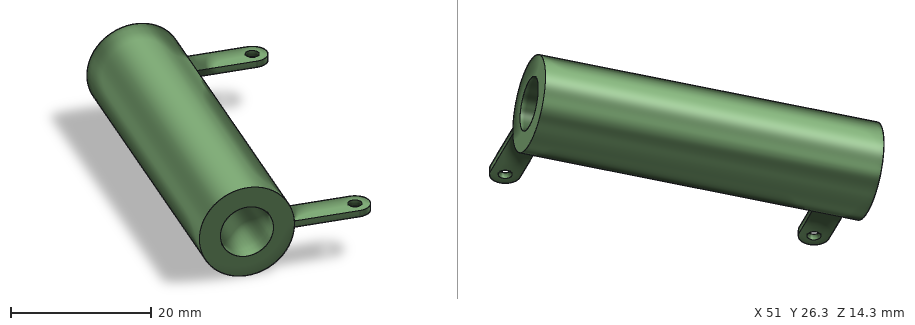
import cadquery as cq

tube_length = 51.0
tube_diameter = 14.3
bore_diameter = 7.95

tab_width = 4.5
tab_thickness = 1.0
tab_hole_diameter = 2.0
overall_depth = 26.3

tube_radius = tube_diameter / 2
tab_tip_y = overall_depth - tube_radius
tab_hole_y = tab_tip_y - tab_width / 2
tab_offset_x = (tube_length - tab_width) / 2


def tube_cylinder(diameter):
    """Solid cylinder over the full tube length."""
    start_plane = cq.Workplane("YZ", origin=(-tube_length / 2, 0, 0))
    return start_plane.circle(diameter / 2).extrude(tube_length)


def make_tube():
    return tube_cylinder(tube_diameter).cut(tube_cylinder(bore_diameter))


def make_tab(center_x):
    """Round-ended tab whose root is shaped to rest on the tube's outer surface."""
    half_width = tab_width / 2
    blank = (
        cq.Workplane("XY", origin=(0, 0, -tab_thickness / 2))
        .moveTo(center_x - half_width, 0)
        .lineTo(center_x + half_width, 0)
        .lineTo(center_x + half_width, tab_hole_y)
        .threePointArc((center_x, tab_tip_y), (center_x - half_width, tab_hole_y))
        .close()
        .extrude(tab_thickness)
    )
    hole = (
        cq.Workplane("XY", origin=(0, 0, -tab_thickness / 2))
        .center(center_x, tab_hole_y)
        .circle(tab_hole_diameter / 2)
        .extrude(tab_thickness)
    )
    return blank.cut(tube_cylinder(tube_diameter)).cut(hole)


tube = make_tube()
tabs = [make_tab(side * tab_offset_x) for side in (-1, 1)]

result = cq.Compound.makeCompound([tube.solids().val(), *[tab.solids().val() for tab in tabs]])